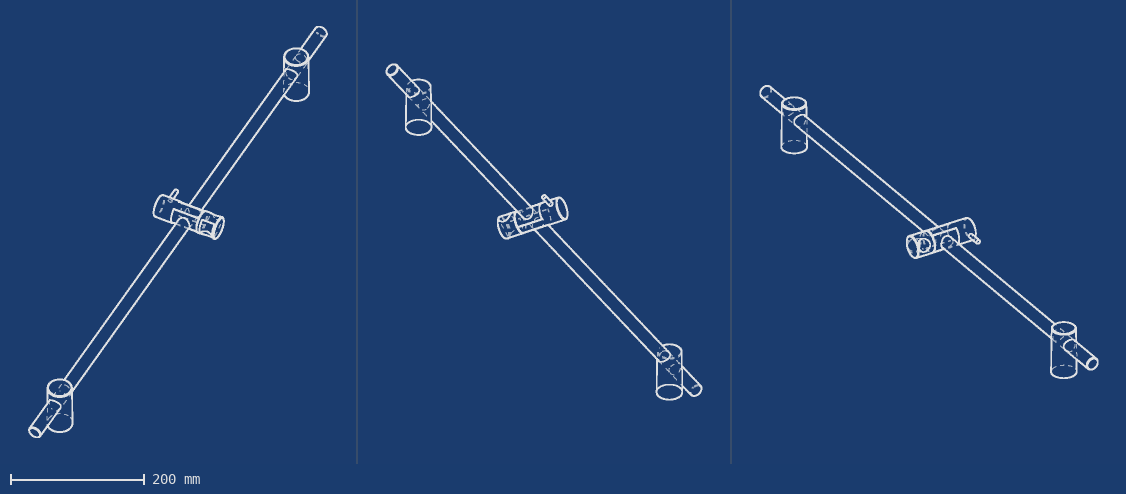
import cadquery as cq


bar_length = 934.0
bar_diameter = 20.0
bar_axis_height = 55.0
bar_end_chamfer = 1.0

post_spacing = 770.0
post_height = 76.42
post_top_diameter = 36.8
post_base_diameter = 38.8
post_edge_chamfer = 1.2

slider_length = 101.94
slider_diameter = 35.0
slider_y = 35.0
slider_edge_chamfer = 1.0
clamp_half_length = 21.0
clamp_relief_depth = 0.8
relief_start = 8.4
joint_groove_width = 1.0
joint_groove_depth = 0.6
holder_relief_start = 27.0
holder_relief_end = 48.0
holder_relief_depth = 0.5

lever_diameter = 6.5
lever_x = -41.0
lever_reach = 39.0

holder_hole_diameter = 20.0
holder_hole_x = 39.5
holder_hole_tilt = 25.0
holder_hole_length = 3 * slider_diameter


def cylinder_along_y(diameter, length):
    """Cylinder centred on the bar axis at Y = 0."""
    return (
        cq.Workplane("XZ", origin=(0, length / 2, bar_axis_height))
        .circle(diameter / 2)
        .extrude(length)
    )


def cylinder_along_x(diameter, x_start, x_end):
    """Cylinder on the slider axis between two X positions."""
    return (
        cq.Workplane("YZ", origin=(x_start, slider_y, bar_axis_height))
        .circle(diameter / 2)
        .extrude(x_end - x_start)
    )


def ring_cut(x_start, x_end, depth):
    """Ring that removes the given depth from the slider surface."""
    outer = cylinder_along_x(slider_diameter + 2 * depth, x_start, x_end)
    return outer.cut(cylinder_along_x(slider_diameter - 2 * depth, x_start, x_end))


def make_bar():
    """Solid round bar with chamfered ends."""
    return cylinder_along_y(bar_diameter, bar_length).faces("<Y or >Y").chamfer(bar_end_chamfer)


def make_post(y):
    """Round post that widens slightly toward the wall, bored across for the bar."""
    return (
        cq.Workplane("XY")
        .circle(post_base_diameter / 2)
        .workplane(offset=post_height)
        .circle(post_top_diameter / 2)
        .loft()
        .faces(">Z")
        .chamfer(post_edge_chamfer)
        .translate((0, y, 0))
        .cut(cylinder_along_y(bar_diameter, bar_length))
    )


def make_clamp_relief():
    """Shallow recess on the front and back of the clamp, beside the bar."""
    middle_band = cq.Workplane("XY", origin=(0, slider_y, bar_axis_height)).box(
        slider_length, 2 * relief_start, 2 * slider_diameter
    )
    return ring_cut(-clamp_half_length, clamp_half_length, clamp_relief_depth).cut(middle_band)


def make_holder_relief():
    """Very shallow recess around the front mouth of the handset hole."""
    block_center_y = slider_y - relief_start - slider_diameter / 2
    front_block = cq.Workplane("XY", origin=(0, block_center_y, bar_axis_height)).box(
        slider_length, slider_diameter, 2 * slider_diameter
    )
    return ring_cut(holder_relief_start, holder_relief_end, holder_relief_depth).intersect(front_block)


def make_handset_hole():
    """Hole that runs along Y and rises toward +Y."""
    return (
        cq.Workplane("XZ", origin=(0, holder_hole_length / 2, 0))
        .circle(holder_hole_diameter / 2)
        .extrude(holder_hole_length)
        .rotate((0, 0, 0), (1, 0, 0), holder_hole_tilt)
        .translate((holder_hole_x, slider_y, bar_axis_height))
    )


def make_slider():
    """Round slider with its lever, bored for the bar and the handset."""
    end_x = slider_length / 2
    body = cylinder_along_x(slider_diameter, -end_x, end_x).faces("<X or >X").chamfer(slider_edge_chamfer)
    lever = (
        cq.Workplane("XZ", origin=(lever_x, slider_y, bar_axis_height))
        .circle(lever_diameter / 2)
        .extrude(-lever_reach)
    )
    groove = ring_cut(clamp_half_length, clamp_half_length + joint_groove_width, joint_groove_depth)
    return (
        body.union(lever)
        .cut(make_clamp_relief())
        .cut(make_holder_relief())
        .cut(groove)
        .cut(make_handset_hole())
        .cut(cylinder_along_y(bar_diameter, bar_length))
    )


bar = make_bar()
posts = [make_post(side * post_spacing / 2) for side in (-1, 1)]
slider = make_slider()

bodies = [bar, *posts, slider]
result = cq.Compound.makeCompound([body.solids().val() for body in bodies])